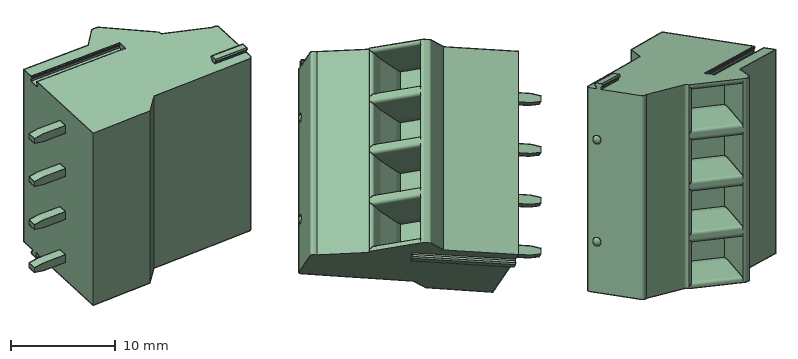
import cadquery as cq
import math

pole_count = 4
pitch = 5.08
body_height = pole_count * pitch

front_x = 1.96
base_width_x = 14.25
body_top_y = 19.4
nose_low_y = 8.96
nose_high_y = 9.65
entry_angle = 49.5
ledge_y = 14.14
ledge_end_x = 4.15
crown_left_x = 5.91
crown_bend_y = 18.83
crown_right_x = 12.13
back_step_x = 12.31
back_step_y = 8.13
back_shoulder_x = 14.11
back_shoulder_y = 6.54
nose_radius = 0.28
ledge_radius = 0.23
crown_left_radius = 0.28
crown_right_radius = 0.42

entry_rad = math.radians(entry_angle)
entry_along = (math.cos(entry_rad), math.sin(entry_rad))
entry_inward = (math.sin(entry_rad), -math.cos(entry_rad))

mouth_low = 0.35
mouth_high = 5.52
mouth_half_height = 2.05
lip_radius = 0.32
slant_depth = 1.55
throat_depth = 4.07
floor_depth = 4.85
throat_high = 5.17
throat_half_height = 1.39

pin_x = 8.87
pin_width = 0.97
pin_thickness = 0.92
pin_length = 3.5
pin_taper_length = 1.02
pin_tip_thickness = 0.55
pin_root = 0.46

rail_height = 0.58
rail_lip_height = 0.16
rail_lip_chamfer = 0.1
rear_rail_x = 10.79
rear_rail_width = 0.9
rear_rail_neck = 0.5
rear_rail_length = 3.55
front_rail_x = 3.79
front_rail_width = 1.02
front_rail_neck = 0.65
front_rail_length = 10.03
rail_neck_height = 0.16
groove_x = front_rail_x
groove_width = 1.15
groove_neck = 0.88
groove_neck_depth = 0.18
groove_depth = 0.6
groove_lip_height = 0.18
groove_floor_chamfer = 0.05
groove_bevel = 0.1
groove_bevel_depth = 0.07

nub_x = 10.97
nub_height = 0.18
nub_base_radius = 0.45


def make_housing():
    """Extrude the side outline over all poles and round its small corners."""
    ledge_start_x = (ledge_y - nose_high_y) / math.tan(entry_rad)
    outline = [
        (front_x, 0),
        (base_width_x, 0),
        (back_shoulder_x, back_shoulder_y),
        (back_step_x, back_step_y),
        (crown_right_x, body_top_y),
        (crown_left_x, body_top_y),
        (crown_left_x, crown_bend_y),
        (ledge_end_x, ledge_y),
        (ledge_start_x, ledge_y),
        (0, nose_high_y),
        (0, nose_low_y),
        (front_x, nose_low_y - front_x / math.tan(entry_rad)),
    ]
    housing = cq.Workplane("XY").polyline(outline).close().extrude(body_height)
    rounded_corners = [
        (0, nose_low_y, nose_radius),
        (0, nose_high_y, nose_radius),
        (ledge_end_x, ledge_y, ledge_radius),
        (crown_left_x, body_top_y, crown_left_radius),
        (crown_right_x, body_top_y, crown_right_radius),
    ]
    for x, y, radius in rounded_corners:
        corner = cq.selectors.NearestToPointSelector((x, y, body_height / 2))
        housing = housing.edges("|Z").edges(corner).fillet(radius)
    return housing


def entry_point(along, depth, z):
    """Point measured along the entry face and inwards from it."""
    x = along * entry_along[0] + depth * entry_inward[0]
    y = nose_high_y + along * entry_along[1] + depth * entry_inward[1]
    return cq.Vector(x, y, z)


def funnel_wire(depth, high, half_height, z):
    """Rectangular cross-section of the funnel parallel to the entry face."""
    corners = [
        (mouth_low, -half_height),
        (high, -half_height),
        (high, half_height),
        (mouth_low, half_height),
    ]
    points = [entry_point(along, depth, z + offset) for along, offset in corners]
    return cq.Wire.makePolygon(points, close=True)


def make_funnel(z):
    """Solid of one wire entry: flat side walls narrow it down to a straight throat."""
    side_draft = (mouth_half_height - throat_half_height) / throat_depth
    slant_half_height = mouth_half_height - side_draft * slant_depth
    mouth = funnel_wire(0, mouth_high, mouth_half_height, z)
    slant = funnel_wire(slant_depth, mouth_high, slant_half_height, z)
    throat = funnel_wire(throat_depth, throat_high, throat_half_height, z)
    floor = funnel_wire(floor_depth, throat_high, throat_half_height, z)
    funnel = cq.Workplane(cq.Solid.makeLoft([mouth, slant], True))
    funnel = funnel.union(cq.Workplane(cq.Solid.makeLoft([slant, throat], True)))
    funnel = funnel.union(cq.Workplane(cq.Solid.makeLoft([throat, floor], True)))
    return funnel.clean()


def cut_wire_entry(body, z):
    """Cut one funnel and round the sides and top of its mouth."""
    body = body.cut(make_funnel(z))
    middle = (mouth_low + mouth_high) / 2
    lip_centres = [(mouth_high, 0), (middle, mouth_half_height), (middle, -mouth_half_height)]
    lip_edges = []
    for along, offset in lip_centres:
        centre = entry_point(along, 0, z + offset).toTuple()
        lip_edges += body.edges(cq.selectors.NearestToPointSelector(centre)).vals()
    return body.newObject(lip_edges).fillet(lip_radius)


def make_pin(z):
    """Rectangular pin whose end tapers in Z."""
    half = pin_thickness / 2
    half_tip = pin_tip_thickness / 2
    taper_y = pin_taper_length - pin_length
    outline = [
        (pin_root, z - half),
        (taper_y, z - half),
        (-pin_length, z - half_tip),
        (-pin_length, z + half_tip),
        (taper_y, z + half),
        (pin_root, z + half),
    ]
    pin = cq.Workplane("YZ").workplane(offset=pin_x - pin_width / 2)
    return pin.polyline(outline).close().extrude(pin_width)


def make_rail(x, face_z, outward, width, neck, y_start, length):
    """Dovetail rail with chamfered lips, standing out of an end face along Y."""
    top_z = face_z + outward * rail_height
    neck_z = face_z + outward * rail_neck_height
    lip_z = top_z - outward * rail_lip_height
    half_top = width / 2 - rail_lip_chamfer
    outline = [
        (x - neck / 2, face_z),
        (x - neck / 2, neck_z),
        (x - width / 2, lip_z),
        (x - half_top, top_z),
        (x + half_top, top_z),
        (x + width / 2, lip_z),
        (x + neck / 2, neck_z),
        (x + neck / 2, face_z),
    ]
    rail = cq.Workplane("XZ", origin=(0, y_start, 0))
    return rail.polyline(outline).close().extrude(-length)


def make_groove():
    """Dovetail groove with a bevelled mouth in the top end face."""
    floor_z = body_height - groove_depth
    half_profile = [
        (groove_neck / 2 + groove_bevel, body_height),
        (groove_neck / 2, body_height - groove_bevel_depth),
        (groove_neck / 2, body_height - groove_neck_depth),
        (groove_width / 2, floor_z + groove_lip_height),
        (groove_width / 2 - groove_floor_chamfer, floor_z),
    ]
    right_side = [(groove_x + offset, z) for offset, z in half_profile]
    left_side = [(groove_x - offset, z) for offset, z in reversed(half_profile)]
    groove = cq.Workplane("XZ").polyline(right_side + left_side).close()
    return groove.extrude(-front_rail_length)


def make_nub(z):
    """Shallow spherical nub on the crown."""
    sphere_radius = (nub_base_radius**2 + nub_height**2) / (2 * nub_height)
    centre_y = body_top_y + nub_height - sphere_radius
    return cq.Workplane("XY", origin=(nub_x, centre_y, z)).sphere(sphere_radius)


result = make_housing()
for pole in range(pole_count):
    pole_z = (pole + 0.5) * pitch
    result = cut_wire_entry(result, pole_z)
    result = result.union(make_pin(pole_z))

result = result.cut(make_groove())
rear_rail_start = body_top_y - rear_rail_length
rear_rail = make_rail(
    rear_rail_x, body_height, 1, rear_rail_width, rear_rail_neck, rear_rail_start, rear_rail_length
)
front_rail = make_rail(front_rail_x, 0, -1, front_rail_width, front_rail_neck, 0, front_rail_length)
result = result.union(rear_rail).union(front_rail)

for nub_z in (pitch, body_height - pitch):
    result = result.union(make_nub(nub_z))